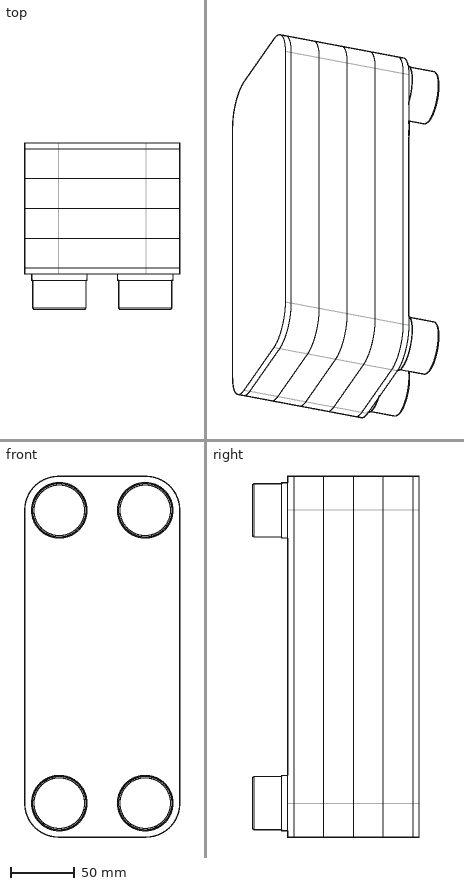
import cadquery as cq

width = 123.0
height = 286.0
corner_radius = 27.0
stack_depth = 104.0
end_plate_thickness = 5.0
block_count = 4
block_thickness = (stack_depth - 2 * end_plate_thickness) / block_count

port_spacing_x = 68.0
port_spacing_z = 232.0
port_diameter = 42.3
collar_diameter = 44.0
collar_length = 5.0
port_length = 28.0
port_chamfer = 1.1


def rounded_layer(front_y, thickness):
    """Rounded rectangular layer from front_y toward +Y."""
    return (
        cq.Workplane("XZ", origin=(0, front_y, 0))
        .rect(width, height)
        .extrude(-thickness)
        .edges("|Y")
        .fillet(corner_radius)
    )


def port(x, z):
    """Solid stub with a collar at its base and a chamfered tip, pointing toward -Y."""
    face = cq.Workplane("XZ", origin=(x, 0, z))
    stub = face.circle(port_diameter / 2).extrude(port_length).faces("<Y").chamfer(port_chamfer)
    collar = face.circle(collar_diameter / 2).extrude(collar_length)
    return stub.union(collar)


front_plate = rounded_layer(0, end_plate_thickness)
back_plate = rounded_layer(stack_depth - end_plate_thickness, end_plate_thickness)

blocks = []
for index in range(block_count):
    block_front_y = end_plate_thickness + index * block_thickness
    blocks.append(rounded_layer(block_front_y, block_thickness))

ports = []
for side_x in (-1, 1):
    for side_z in (-1, 1):
        ports.append(port(side_x * port_spacing_x / 2, side_z * port_spacing_z / 2))

bodies = [front_plate, back_plate, *blocks, *ports]
result = cq.Compound.makeCompound([body.val() for body in bodies])